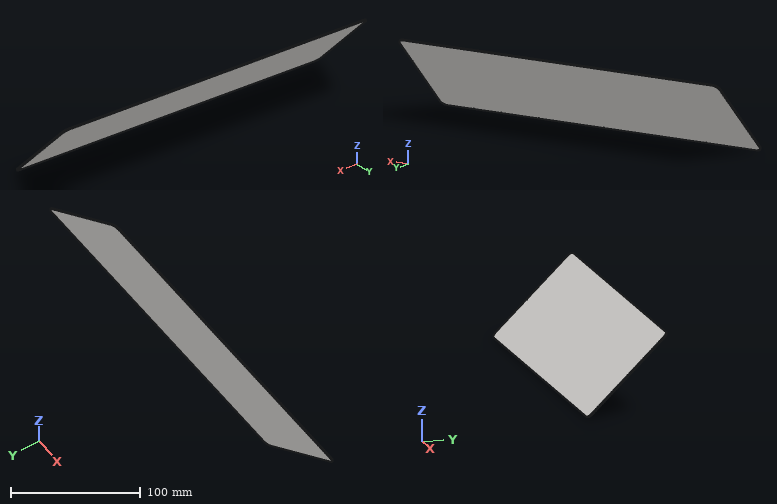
import cadquery as cq

length = 295.15
width = 90.0
thickness = 1.0
corner_radius = 5.0
tilt = 45.0


def flat_plate():
    """Thin rectangular plate with rounded corners, lying flat and centred on the origin."""
    plate = cq.Workplane("XY").box(length, width, thickness)
    return plate.edges("|Z").fillet(corner_radius)


result = flat_plate().rotate((0, 0, 0), (1, 0, 0), tilt)